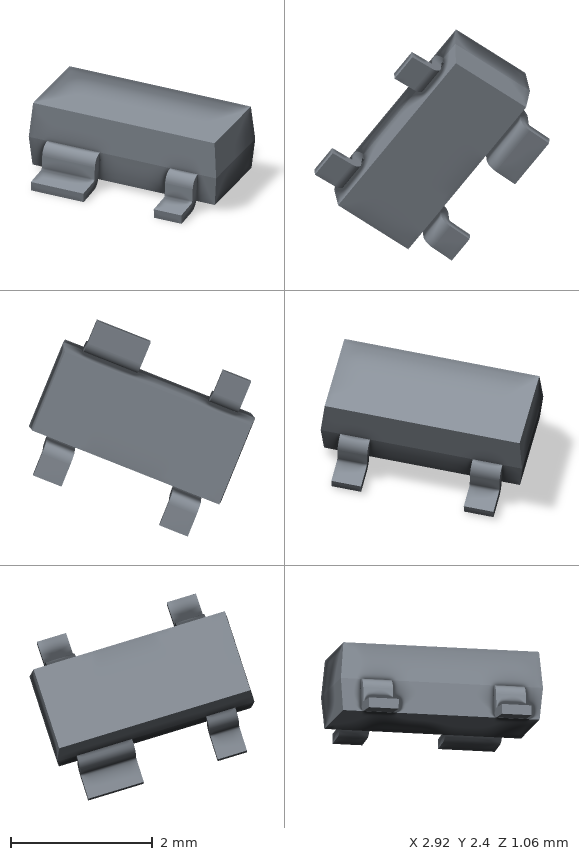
import cadquery as cq
import math

body_length = 2.92
body_width = 1.30
body_bottom_z = 0.075
parting_z = 0.53
body_top_z = 1.06
draft_angle = 5.0

lead_span = 2.40
lead_thickness = 0.14
inner_radius = 0.03
outer_radius = inner_radius + lead_thickness
foot_length = 0.337
foot_tilt = math.radians(4.0)
leg_tilt = math.radians(5.0)
lead_embed = 0.10

lead_x = 0.96
narrow_width = 0.43
wide_width = 0.82
wide_lead_pitch = 1.72
front = -1
rear = 1
leads = [
    (lead_x - wide_lead_pitch, wide_width, front),
    (lead_x, narrow_width, front),
    (-lead_x, narrow_width, rear),
    (lead_x, narrow_width, rear),
]


def make_body_half(direction, height):
    """Half of the body, narrowing from the parting plane along Z (1 is up, -1 is down)."""
    parting_plane = cq.Plane(origin=(0, 0, parting_z), xDir=(1, 0, 0), normal=(0, 0, direction))
    return cq.Workplane(parting_plane).rect(body_length, body_width).extrude(height, taper=draft_angle)


def make_body():
    """Moulded body, widest at the parting plane."""
    upper = make_body_half(1, body_top_z - parting_z)
    lower = make_body_half(-1, parting_z - body_bottom_z)
    return upper.union(lower)


def polar(center, radius, angle):
    """Point (outward, up) at a radius and angle from a bend center."""
    return (center[0] + radius * math.cos(angle), center[1] + radius * math.sin(angle))


def make_lead(center_x, width, side):
    """Lead on the given side, its S-shaped section drawn as (outward, up) points."""
    tip_top = (lead_span / 2, lead_thickness * math.cos(foot_tilt))
    tip_bottom = (tip_top[0] - lead_thickness * math.sin(foot_tilt), 0)

    foot_start = polar(tip_top, foot_length, math.pi - foot_tilt)
    foot_normal = math.pi / 2 - foot_tilt
    lower_center = polar(foot_start, inner_radius, foot_normal)

    center_offset = inner_radius + outer_radius
    upper_center_z = parting_z - outer_radius
    leg_drop = upper_center_z + center_offset * math.sin(leg_tilt) - lower_center[1]
    upper_center_y = (
        lower_center[0] - center_offset * math.cos(leg_tilt) - leg_drop * math.tan(leg_tilt)
    )
    upper_center = (upper_center_y, upper_center_z)

    upper_start = math.pi / 2
    upper_end = leg_tilt
    upper_middle = (upper_start + upper_end) / 2
    lower_start = math.pi + leg_tilt
    lower_end = math.pi + foot_normal
    lower_middle = (lower_start + lower_end) / 2

    root_y = body_width / 2 - lead_embed
    lead = (
        cq.Workplane("YZ")
        .moveTo(root_y, parting_z)
        .lineTo(upper_center_y, parting_z)
        .threePointArc(
            polar(upper_center, outer_radius, upper_middle),
            polar(upper_center, outer_radius, upper_end),
        )
        .lineTo(*polar(lower_center, inner_radius, lower_start))
        .threePointArc(polar(lower_center, inner_radius, lower_middle), foot_start)
        .lineTo(*tip_top)
        .lineTo(*tip_bottom)
        .lineTo(*polar(lower_center, outer_radius, lower_end))
        .threePointArc(
            polar(lower_center, outer_radius, lower_middle),
            polar(lower_center, outer_radius, lower_start),
        )
        .lineTo(*polar(upper_center, inner_radius, upper_end))
        .threePointArc(
            polar(upper_center, inner_radius, upper_middle),
            polar(upper_center, inner_radius, upper_start),
        )
        .lineTo(root_y, parting_z - lead_thickness)
        .close()
        .extrude(width / 2, both=True)
    )
    if side == front:
        lead = lead.mirror("XZ")
    return lead.translate((center_x, 0, 0))


result = make_body()
for lead_center_x, lead_width, lead_side in leads:
    result = result.union(make_lead(lead_center_x, lead_width, lead_side))